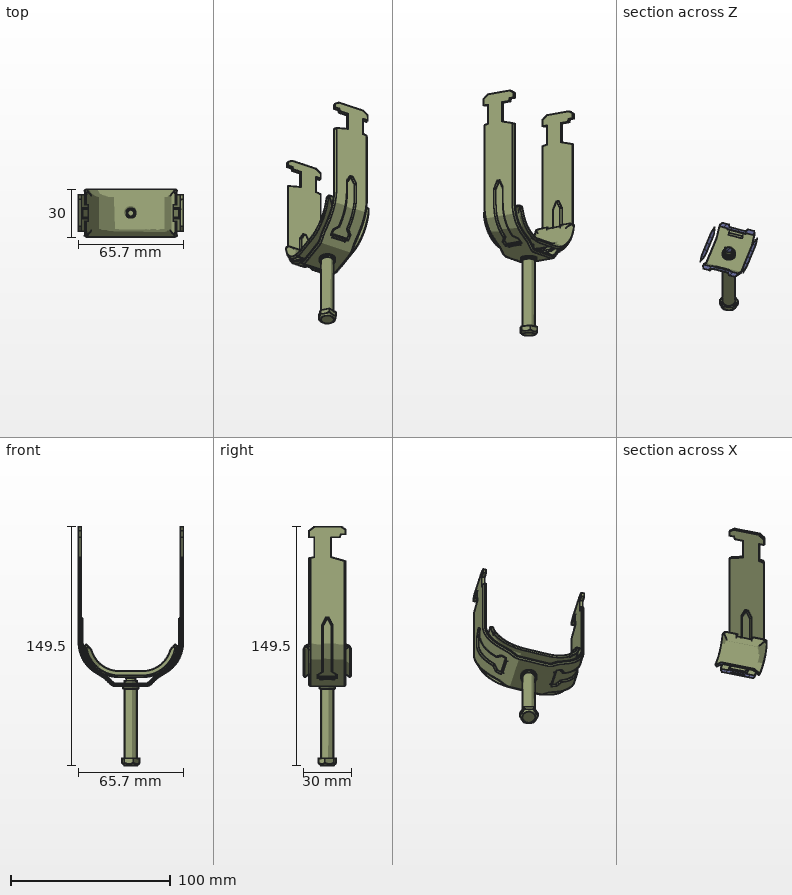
import cadquery as cq
import math


OVERALL_WIDTH = 65.7
STRAP_WIDTH = 23.0
STRAP_THICKNESS = 1.9
STRAP_TOP = 100.0
ARM_BASE = 27.75
ARC_RADIUS = 22.4
ARC_END_SLOPE = math.radians(32)
KINK_HEIGHT = 5.0
RAMP_SLOPE = math.radians(45)
BASE_BEND_RADIUS = 5.0
EDGE_CHAMFER = 1.0
HALF_WIDTH = STRAP_WIDTH / 2
ARM_X = OVERALL_WIDTH / 2
ARC_X = ARM_X - ARC_RADIUS

NECK_Y = (-8.2, 2.4)
NECK_BOTTOM = 81.0
SHOULDER_HEIGHTS = (80.3, 78.4)
HEAD_BOTTOM = 93.3
HEAD_CROWN_Y = (-8.1, 8.8)
HEAD_CORNER_HEIGHTS = (97.4, 98.1)
HOOK_TIP_HEIGHT = 95.1
HOOK_STEP_Y = (7.9, 8.5)

BEAD_HALF_WIDTH = 3.5
BEAD_DEPTH = 0.95
BEAD_TAPER = 45
BEAD_SHOULDER = 38.2
BEAD_TIP = 43.2
BEAD_TIP_HALF_WIDTH = 0.9
BEAD_END_HALF_WIDTH = 6.2
BEAD_END_SLANT = 3.0
WINDOW_WIDTH = 9.0
WINDOW_HEIGHTS = (4.4, 5.4)

COLLAR_DIAMETER = 10.0
COLLAR_LENGTH = 1.8
COLLAR_CHAMFER = 0.8

SADDLE_WIDTH = 30.0
SADDLE_THICKNESS = 1.5
SADDLE_TOP = 9.7
SADDLE_FLAT = 7.43
SADDLE_RADIUS = 17.8
SADDLE_CENTER = (SADDLE_FLAT, SADDLE_TOP + SADDLE_RADIUS)
SADDLE_SWEEP = 110.0
SADDLE_END_ANGLE = math.radians(72)
SIDE_FLARE = math.radians(35)
SIDE_BEND_RADIUS = 3.0
SIDE_FLARE_START = 10.1
END_FLARE = math.radians(26)
END_BEND_RADIUS = 5.0
END_RIM_LENGTH = 3.3
RIM_CORNER_RADIUS = 3.8
NOTCH_WIDTH = 10.4
NOTCH_X = 26.7
SADDLE_HOLE = 5.0
SADDLE_HOLE_ROUND = 2.0
SADDLE_COLLAR = 6.2
SADDLE_COLLAR_BOTTOM = 5.0

BOLT_DIAMETER = 8.0
BOLT_NECK = 6.0
BOLT_PIN = 4.5
PIN_CHAMFER = 0.25
BOLT_SHOULDER = 3.5
PIN_TOP = 8.9
HEAD_TOP = -45.1
HEAD_FLATS = 10.0
HEAD_TURN = 15.0
BOLT_END = -49.5
HEAD_END_DIAMETER = 8.0
HEAD_BEVEL = 45

FAR = 60.0


def box(x_range, y_range, z_range):
    size = [high - low for low, high in (x_range, y_range, z_range)]
    return cq.Workplane("XY").box(*size, centered=False).translate((x_range[0], y_range[0], z_range[0]))


def with_mirror(shape):
    """The shape joined with its mirror image in the YZ plane."""
    return shape.union(shape.mirror("YZ"))


def arc_point(center, radius, angle):
    """Point on an arc in XZ, with the angle measured from straight down towards +X."""
    return (center[0] + radius * math.sin(angle), center[1] - radius * math.cos(angle))


def strap_filling(inset, top):
    """Everything inside the strap's outer face moved inwards by `inset`, up to `top`."""
    arc_center = (ARC_X, ARM_BASE)
    radius = ARC_RADIUS - inset
    arc_end = arc_point(arc_center, radius, ARC_END_SLOPE)
    arc_mid = arc_point(arc_center, radius, (ARC_END_SLOPE + math.pi / 2) / 2)

    outer_arc_end = arc_point(arc_center, ARC_RADIUS, ARC_END_SLOPE)
    outer_kink_x = outer_arc_end[0] - (outer_arc_end[1] - KINK_HEIGHT) / math.tan(ARC_END_SLOPE)
    ramp_foot_x = outer_kink_x - KINK_HEIGHT / math.tan(RAMP_SLOPE)
    bend_center = (ramp_foot_x - BASE_BEND_RADIUS * math.tan(RAMP_SLOPE / 2), BASE_BEND_RADIUS)
    bend_radius = BASE_BEND_RADIUS - inset
    bend_end = arc_point(bend_center, bend_radius, RAMP_SLOPE)
    bend_mid = arc_point(bend_center, bend_radius, RAMP_SLOPE / 2)

    arc_slope = math.tan(ARC_END_SLOPE)
    ramp_slope = math.tan(RAMP_SLOPE)
    rise = arc_end[1] - bend_end[1]
    run = arc_end[0] - bend_end[0]
    kink_run = (rise - arc_slope * run) / (ramp_slope - arc_slope)
    kink = (bend_end[0] + kink_run, bend_end[1] + ramp_slope * kink_run)

    half = (
        cq.Workplane("XZ")
        .moveTo(0, top)
        .lineTo(ARM_X - inset, top)
        .lineTo(ARM_X - inset, ARM_BASE)
        .threePointArc(arc_mid, arc_end)
        .lineTo(*kink)
        .lineTo(*bend_end)
        .threePointArc(bend_mid, (bend_center[0], inset))
        .lineTo(0, inset)
        .close()
        .extrude(HALF_WIDTH, both=True)
    )
    return with_mirror(half)


def strap_band():
    """The bent strip up to the arms' sloping shoulders, its outer long edges chamfered."""
    outer = strap_filling(0, NECK_BOTTOM)
    chamfered = outer.faces("<Y or >Y").edges("not >Z").chamfer(EDGE_CHAMFER)
    shoulders = (
        cq.Workplane("YZ")
        .polyline([
            (-HALF_WIDTH, -FAR),
            (HALF_WIDTH, -FAR),
            (HALF_WIDTH, SHOULDER_HEIGHTS[1]),
            (NECK_Y[1], NECK_BOTTOM),
            (NECK_Y[0], NECK_BOTTOM),
            (-HALF_WIDTH, SHOULDER_HEIGHTS[0]),
        ])
        .close()
        .extrude(FAR, both=True)
    )
    return chamfered.cut(strap_filling(STRAP_THICKNESS, STRAP_TOP)).intersect(shoulders)


def hook():
    """Neck and asymmetric hook at the top of the +X arm."""
    return (
        cq.Workplane("YZ", origin=(ARM_X - STRAP_THICKNESS, 0, 0))
        .polyline([
            (NECK_Y[0], NECK_BOTTOM),
            (NECK_Y[1], NECK_BOTTOM),
            (NECK_Y[1], HEAD_BOTTOM),
            (HOOK_STEP_Y[0], HEAD_BOTTOM),
            (HOOK_STEP_Y[1], HOOK_TIP_HEIGHT),
            (HALF_WIDTH, HOOK_TIP_HEIGHT),
            (HALF_WIDTH, HEAD_CORNER_HEIGHTS[1]),
            (HEAD_CROWN_Y[1], STRAP_TOP),
            (HEAD_CROWN_Y[0], STRAP_TOP),
            (-HALF_WIDTH, HEAD_CORNER_HEIGHTS[0]),
            (-HALF_WIDTH, HEAD_BOTTOM),
            (NECK_Y[0], HEAD_BOTTOM),
        ])
        .close()
        .extrude(STRAP_THICKNESS)
    )


def bead(inset):
    """Sloping-sided bead on the +X side, rising inwards from the face at `inset`."""
    face_x = ARM_X - inset
    radius = ARC_RADIUS - inset
    overlap = 2 * BEAD_DEPTH

    arm_part = (
        cq.Workplane("YZ", origin=(face_x, 0, 0))
        .polyline([
            (-BEAD_HALF_WIDTH, ARM_BASE - overlap),
            (BEAD_HALF_WIDTH, ARM_BASE - overlap),
            (BEAD_HALF_WIDTH, BEAD_SHOULDER),
            (BEAD_TIP_HALF_WIDTH, BEAD_TIP),
            (-BEAD_TIP_HALF_WIDTH, BEAD_TIP),
            (-BEAD_HALF_WIDTH, BEAD_SHOULDER),
        ])
        .close()
        .extrude(-BEAD_DEPTH, taper=BEAD_TAPER)
        .intersect(box((0, FAR), (-FAR, FAR), (ARM_BASE, STRAP_TOP)))
    )

    floor_half_width = BEAD_HALF_WIDTH - BEAD_DEPTH
    arc_part = (
        cq.Workplane("XY", origin=(ARC_X, 0, ARM_BASE))
        .polyline([
            (radius, -BEAD_HALF_WIDTH),
            (radius, BEAD_HALF_WIDTH),
            (radius - BEAD_DEPTH, floor_half_width),
            (radius - BEAD_DEPTH, -floor_half_width),
        ])
        .close()
        .revolve(90 - math.degrees(ARC_END_SLOPE), (0, 0), (0, 1))
    )

    end_x, end_z = arc_point((ARC_X, ARM_BASE), radius, ARC_END_SLOPE)
    outward = (math.sin(ARC_END_SLOPE), 0, -math.cos(ARC_END_SLOPE))
    downhill = (-math.cos(ARC_END_SLOPE), 0, -math.sin(ARC_END_SLOPE))
    outer_end_z = arc_point((ARC_X, ARM_BASE), ARC_RADIUS, ARC_END_SLOPE)[1]
    end_length = (outer_end_z - KINK_HEIGHT) / math.sin(ARC_END_SLOPE)
    end_part = (
        cq.Workplane(cq.Plane((end_x, 0, end_z), xDir=downhill, normal=outward))
        .polyline([
            (-overlap, -BEAD_HALF_WIDTH),
            (0, -BEAD_HALF_WIDTH),
            (BEAD_END_SLANT, -BEAD_END_HALF_WIDTH),
            (end_length, -BEAD_END_HALF_WIDTH),
            (end_length, BEAD_END_HALF_WIDTH),
            (BEAD_END_SLANT, BEAD_END_HALF_WIDTH),
            (0, BEAD_HALF_WIDTH),
            (-overlap, BEAD_HALF_WIDTH),
        ])
        .close()
        .extrude(-BEAD_DEPTH, taper=BEAD_TAPER)
    )
    below_arc = (
        cq.Workplane(cq.Plane((end_x, 0, end_z), xDir=downhill, normal=outward))
        .rect(FAR, FAR)
        .extrude(FAR / 2, both=True)
        .translate(tuple(FAR / 2 * part for part in downhill))
    )
    return arm_part.union(arc_part).union(end_part.intersect(below_arc))


def make_strap():
    strap = strap_band().union(with_mirror(hook()))
    strap = strap.union(with_mirror(bead(STRAP_THICKNESS)))
    strap = strap.cut(with_mirror(bead(0)))
    window_y = (-WINDOW_WIDTH / 2, WINDOW_WIDTH / 2)
    strap = strap.cut(with_mirror(box((COLLAR_DIAMETER, ARM_X), window_y, WINDOW_HEIGHTS)))
    collar = (
        cq.Workplane("XY")
        .circle(COLLAR_DIAMETER / 2)
        .extrude(-COLLAR_LENGTH)
        .faces("<Z")
        .chamfer(COLLAR_CHAMFER)
    )
    bore = cq.Workplane("XY").circle(BOLT_DIAMETER / 2).extrude(FAR, both=True)
    return strap.union(collar).cut(bore)


def side_flare_points(depth):
    """Bend middle, bend end and rim of the side flare at `depth` below the top face, as (y, depth)."""
    radius = SIDE_BEND_RADIUS - depth

    def on_bend(angle):
        return (SIDE_FLARE_START + radius * math.sin(angle), SIDE_BEND_RADIUS - radius * math.cos(angle))

    bend_end = on_bend(SIDE_FLARE)
    rim_y = SADDLE_WIDTH / 2 - depth * math.sin(SIDE_FLARE)
    rim = (rim_y, bend_end[1] + (rim_y - bend_end[0]) * math.tan(SIDE_FLARE))
    return on_bend(SIDE_FLARE / 2), bend_end, rim


def side_flare_sweep(depth):
    """Body under the side-flared surface at `depth`, following the saddle's flat and arcs."""
    bend_mid, bend_end, rim = side_flare_points(depth)
    if depth == 0:
        last = side_flare_points(SADDLE_THICKNESS)[2]
    else:
        last = (rim[0] + SADDLE_THICKNESS, rim[1] + SADDLE_THICKNESS * math.tan(SIDE_FLARE))

    def place(point):
        return (point[0], -SADDLE_RADIUS - point[1])

    def half_section():
        return (
            cq.Workplane("YZ", origin=(SADDLE_FLAT, 0, SADDLE_CENTER[1]))
            .moveTo(*place((0, depth)))
            .lineTo(*place((SIDE_FLARE_START, depth)))
            .threePointArc(place(bend_mid), place(bend_end))
            .lineTo(*place(rim))
            .lineTo(*place(last))
            .lineTo(*place((0, last[1])))
            .close()
        )

    arc = half_section().revolve(SADDLE_SWEEP, (0, 0), (-1, 0))
    flat = half_section().extrude(-SADDLE_FLAT)
    quarter = arc.union(flat)
    return with_mirror(quarter.union(quarter.mirror("XZ")))


def end_flare_block(depth):
    """Body outside the lengthwise profile at `depth`, which turns outwards at the saddle ends."""
    radius = SADDLE_RADIUS + depth
    arc_mid = arc_point(SADDLE_CENTER, radius, SADDLE_END_ANGLE / 2)
    arc_end = arc_point(SADDLE_CENTER, radius, SADDLE_END_ANGLE)
    bend_center = arc_point(SADDLE_CENTER, SADDLE_RADIUS + END_BEND_RADIUS, SADDLE_END_ANGLE)
    bend_radius = END_BEND_RADIUS - depth

    def on_bend(turn):
        return arc_point(bend_center, -bend_radius, SADDLE_END_ANGLE - turn)

    heading = SADDLE_END_ANGLE - END_FLARE
    bend_end = on_bend(END_FLARE)
    length = END_RIM_LENGTH + depth
    tip = (bend_end[0] + length * math.cos(heading), bend_end[1] + length * math.sin(heading))
    outside = (tip[0] + FAR * math.sin(heading), tip[1] - FAR * math.cos(heading))
    half = (
        cq.Workplane("XZ")
        .moveTo(0, SADDLE_TOP - depth)
        .lineTo(SADDLE_FLAT, SADDLE_TOP - depth)
        .threePointArc(arc_mid, arc_end)
        .threePointArc(on_bend(END_FLARE / 2), bend_end)
        .lineTo(*tip)
        .lineTo(*outside)
        .lineTo(0, -FAR)
        .close()
        .extrude(SADDLE_WIDTH, both=True)
    )
    return with_mirror(half), tip[1]


def make_saddle():
    outer_block, rim_top = end_flare_block(0)
    inner_block, _ = end_flare_block(SADDLE_THICKNESS)
    blank = side_flare_sweep(0).intersect(outer_block)

    side_shell = blank.cut(side_flare_sweep(SADDLE_THICKNESS))
    end_shell = blank.cut(inner_block)
    saddle = side_shell.union(end_shell)

    rounding = (
        box((-FAR, FAR), (-SADDLE_WIDTH / 2, SADDLE_WIDTH / 2), (0, rim_top))
        .edges("|X and >Z")
        .fillet(RIM_CORNER_RADIUS)
    )
    saddle = saddle.intersect(rounding)

    notch_y = (-NOTCH_WIDTH / 2, NOTCH_WIDTH / 2)
    saddle = saddle.cut(with_mirror(box((NOTCH_X, FAR), notch_y, (0, STRAP_TOP))))

    collar = (
        cq.Workplane("XY", origin=(0, 0, SADDLE_COLLAR_BOTTOM))
        .circle(SADDLE_COLLAR / 2)
        .extrude(SADDLE_TOP - SADDLE_COLLAR_BOTTOM)
    )
    hole_radius = SADDLE_HOLE / 2
    mouth_radius = hole_radius + SADDLE_HOLE_ROUND
    diagonal = SADDLE_HOLE_ROUND * math.sqrt(0.5)
    hole = (
        cq.Workplane("XZ")
        .moveTo(0, 0)
        .lineTo(hole_radius, 0)
        .lineTo(hole_radius, SADDLE_TOP - SADDLE_HOLE_ROUND)
        .threePointArc(
            (mouth_radius - diagonal, SADDLE_TOP - SADDLE_HOLE_ROUND + diagonal),
            (mouth_radius, SADDLE_TOP),
        )
        .lineTo(0, SADDLE_TOP)
        .close()
        .revolve(360, (0, 0), (0, 1))
    )
    return saddle.union(collar).cut(hole)


def make_bolt():
    shank = (
        cq.Workplane("XZ")
        .polyline([
            (0, HEAD_TOP),
            (BOLT_DIAMETER / 2, HEAD_TOP),
            (BOLT_DIAMETER / 2, BOLT_SHOULDER),
            (BOLT_NECK / 2, BOLT_SHOULDER),
            (BOLT_NECK / 2, SADDLE_COLLAR_BOTTOM),
            (BOLT_PIN / 2, SADDLE_COLLAR_BOTTOM),
            (BOLT_PIN / 2, PIN_TOP - PIN_CHAMFER),
            (BOLT_PIN / 2 - PIN_CHAMFER, PIN_TOP),
            (0, PIN_TOP),
        ])
        .close()
        .revolve(360, (0, 0), (0, 1))
    )
    head_height = HEAD_TOP - BOLT_END
    hexagon = (
        cq.Workplane("XY", origin=(0, 0, BOLT_END))
        .polygon(6, HEAD_FLATS, circumscribed=True)
        .extrude(head_height)
        .rotate((0, 0, 0), (0, 0, 1), HEAD_TURN)
    )
    cone = (
        cq.Workplane("XY", origin=(0, 0, BOLT_END))
        .circle(HEAD_END_DIAMETER / 2)
        .extrude(head_height, taper=-HEAD_BEVEL)
    )
    return shank.union(hexagon.intersect(cone))


strap = make_strap()
saddle = make_saddle()
bolt = make_bolt()

result = cq.Compound.makeCompound([strap.solids().val(), saddle.solids().val(), bolt.solids().val()])